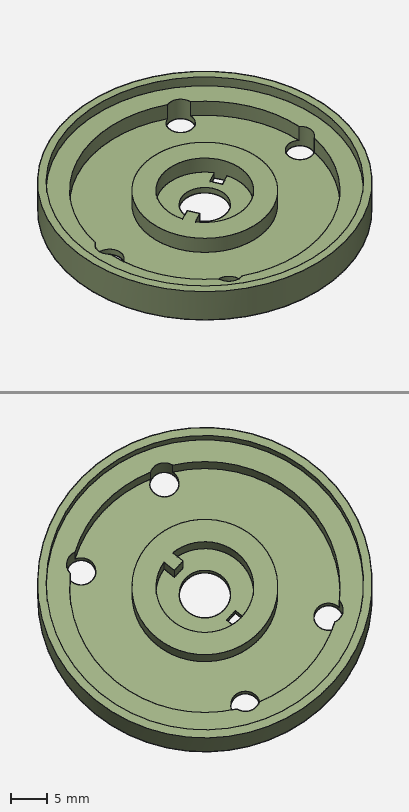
import cadquery as cq

outer_diameter = 45.9
total_height = 5.2
rim_bore_diameter = 43.5
rim_depth = 1.6
pocket_diameter = 37.1
floor_thickness = 1.0

boss_diameter = 20.0
boss_bore_diameter = 13.4
boss_height = 2.55
center_hole_diameter = 7.0

key_width = 1.85
key_inner_y = 4.77

bolt_hole_diameter = 4.0
bolt_spacing_x = 17.3
bolt_spacing_y = 29.93

ledge_z = total_height - rim_depth
key_root_y = (boss_bore_diameter + boss_diameter) / 4
key_length = key_root_y - key_inner_y
key_center_y = (key_inner_y + key_root_y) / 2


def cylinder(diameter, bottom_z, height):
    """Solid cylinder on the Z axis."""
    return cq.Workplane("XY").workplane(offset=bottom_z).circle(diameter / 2).extrude(height)


def key_block(center_y, length, bottom_z, height):
    """Rectangular block of key width, centered on X = 0."""
    return (
        cq.Workplane("XY")
        .workplane(offset=bottom_z)
        .center(0, center_y)
        .rect(key_width, length)
        .extrude(height)
    )


dish = (
    cylinder(outer_diameter, 0, total_height)
    .cut(cylinder(rim_bore_diameter, ledge_z, rim_depth))
    .cut(cylinder(pocket_diameter, floor_thickness, ledge_z - floor_thickness))
)

boss = cylinder(boss_diameter, floor_thickness, boss_height).cut(
    cylinder(boss_bore_diameter, floor_thickness, boss_height)
)

key = key_block(-key_center_y, key_length, floor_thickness, boss_height)

center_hole = cylinder(center_hole_diameter, 0, floor_thickness)
keyway = key_block(key_center_y, key_length, 0, floor_thickness).intersect(
    cylinder(boss_bore_diameter, 0, floor_thickness)
)
bolt_holes = (
    cq.Workplane("XY")
    .rect(bolt_spacing_x, bolt_spacing_y, forConstruction=True)
    .vertices()
    .circle(bolt_hole_diameter / 2)
    .extrude(total_height)
)

result = dish.union(boss).union(key).cut(center_hole).cut(keyway).cut(bolt_holes)